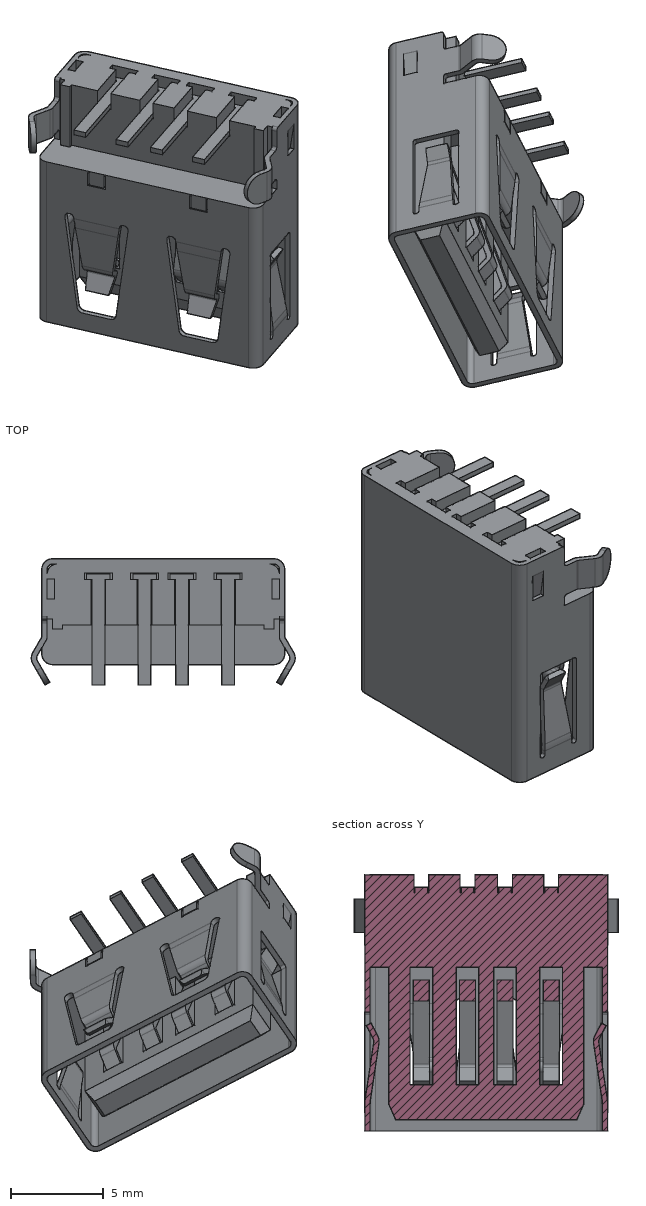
import cadquery as cq
import math


shell_width = 13.08
shell_depth = 5.71
shell_height = 13.8
sheet = 0.3
shell_corner = 0.6
front_height = 10.03
side_edge_y = 2.41
notch_fillet = 0.17
half_width = shell_width / 2
middle_y = shell_depth / 2
inner_half_width = half_width - sheet

overall_width = 14.2
overall_depth = 6.8
tab_bottom = 10.68
tab_top = 12.5
tab_bend_y = 1.49
tab_angle = math.radians(30)
tab_root_radius = 0.28
tab_knee_radius = 0.45
front_limit = shell_depth - overall_depth

front_spring_x = 3.0
window_bottom = 1.06
window_corner = 0.33
window_half_bottom = 1.11
window_half_top = 1.86
front_root_z = 6.86
front_root_half = 1.33
front_tip_half = 0.65
front_bend_z = 6.57
front_bend_radius = 12.78
front_shoulder = (0.13, 3.68)
front_shoulder_radius = 0.3
front_knee = (0.65, 3.44)
front_knee_radius = 0.24
front_tip = (0.04, 2.5)

side_window_width = 2.58
side_window_bottom = 1.01
side_window_top = 6.4
side_window_corner = 0.14
side_root_z = 1.35
side_root_half = 0.97
side_bend_z = 1.58
side_bend_radius = 2.55
side_knee_z = 4.88
side_knee_depth = 0.5
side_knee_half = 0.64
side_knee_radius = 0.51
side_tip_z = 5.68
side_tip_depth = 0.09
side_tip_half = 0.61
spring_tip_fillet = 0.23

latch_y = (3.92, 4.7)
latch_z = (11.29, 12.84)
latch_lean = 0.23
pocket_y = (3.54, 4.62)
pocket_inner_x = 5.84

notch_x = 3.0
notch_width = 1.04
notch_depth = 0.9
nub_width = 0.87
nub_depth = 0.84
nub_head_depth = 0.1

insulator_corner = 0.5
base_bottom = 8.8
block_front_y = 2.15
rib_front_y = 1.92
rib_half_inner = 5.41
rib_half_outer = 5.96
shoulder_y = 2.47
tongue_half_width = 5.25
tongue_front_y = 2.84
tongue_back_y = 4.69
tongue_taper_top = 1.46
tongue_taper_length = 0.85
tongue_taper_angle = 24

contact_xs = (-3.5, -1.01, 1.01, 3.5)
pin_width = 0.7
pin_bottom = 12.82
pin_slot_width = 0.78
plate_width = 1.26
plate_back_y = 4.88
plate_slot_width = 1.5
plate_slot_y = (4.59, 4.93)
blade_width = 0.87
groove_width = 1.2
groove_floor_y = 3.83
groove_bottom = 2.5
blade_root_y = 3.52
blade_apex_y = 2.09
blade_apex_z = 3.41
blade_end_y = 2.98
blade_radius = 0.35


def box(x_range, y_range, z_range):
    """Box between two limits on each axis."""
    size = [high - low for low, high in (x_range, y_range, z_range)]
    corner = (x_range[0], y_range[0], z_range[0])
    return cq.Workplane("XY").box(*size, centered=False).translate(corner)


def centred_box(x, width, y_range, z_range):
    """Box of a given width centred on x."""
    return box((x - width / 2, x + width / 2), y_range, z_range)


def both_sides(body):
    """A body together with its mirror image across X = 0."""
    return body.union(body.mirror("YZ"))


def rounded_prism(width, y_range, radius, z_range):
    """Upright prism centred on X, with its four upright edges rounded."""
    return centred_box(0, width, y_range, z_range).edges("|Z").fillet(radius)


def bent_strip(plane, path, radii):
    """Outline of a sheet whose face follows path, the sheet lying on the left of it.

    Each inner point of the path is a bend; radii are those of the sheet's middle layer.
    """
    points = [cq.Vector(*point) for point in path]
    runs = [(end - start).normalized() for start, end in zip(points, points[1:])]
    lefts = [cq.Vector(-run.y, run.x) for run in runs]
    sides = []
    for offset in (0, sheet):
        side = [[points[0] + lefts[0] * offset]]
        for i, radius in enumerate(radii):
            bisector = (lefts[i] + lefts[i + 1]).normalized()
            half_turn_cos = bisector.dot(lefts[i])
            turn = math.copysign(1, runs[i].cross(runs[i + 1]).z)
            centre_offset = sheet / 2 + turn * radius
            centre = points[i + 1] + bisector * (centre_offset / half_turn_cos)
            arm = offset - centre_offset
            side.append([centre + way * arm for way in (lefts[i], bisector, lefts[i + 1])])
        side.append([points[-1] + lefts[-1] * offset])
        sides.append(side)
    near, far = sides
    stretches = near[1:] + [stretch[::-1] for stretch in far[::-1]]
    outline = cq.Workplane(plane).moveTo(near[0][0].x, near[0][0].y)
    for stretch in stretches:
        outline = outline.lineTo(stretch[0].x, stretch[0].y)
        if len(stretch) == 3:
            middle, end = stretch[1:]
            outline = outline.threePointArc((middle.x, middle.y), (end.x, end.y))
    return outline.close()


def make_tube():
    """Folded shell, cut down at the front around the pins."""
    tube = rounded_prism(shell_width, (0, shell_depth), shell_corner, (0, shell_height))
    bore = rounded_prism(
        2 * inner_half_width, (sheet, shell_depth - sheet), shell_corner - sheet, (0, shell_height)
    )
    clearance = centred_box(0, shell_width, (0, side_edge_y), (front_height, shell_height))
    tube = tube.cut(bore).cut(clearance)
    side_corners = tube.edges("|X and >Z").edges(
        cq.selectors.BoxSelector(
            (-half_width, side_edge_y - sheet, front_height),
            (half_width, side_edge_y + sheet, shell_height + sheet),
        )
    )
    return side_corners.fillet(notch_fillet)


def make_tab():
    """Left board-lock tab: bent outwards, then back in to a round end."""
    tab_height = tab_top - tab_bottom
    end_radius = tab_height / 2
    tab_middle = (tab_top + tab_bottom) / 2
    knee_outer_radius = tab_knee_radius + sheet / 2
    knee_trim = knee_outer_radius * (1 / math.cos(tab_angle) - 1)
    knee_x = -overall_width / 2 - knee_trim
    knee_y = tab_bend_y - (-half_width - knee_x) / math.tan(tab_angle)
    tip_x = knee_x + (knee_y - front_limit) * math.tan(tab_angle)
    path = [
        (-half_width, side_edge_y),
        (-half_width, tab_bend_y),
        (knee_x, knee_y),
        (tip_x, front_limit),
    ]
    tab = bent_strip("XY", path, [tab_root_radius, tab_knee_radius]).extrude(tab_height)
    tab = tab.translate((0, 0, tab_bottom))
    leg_plane = cq.Plane(
        origin=(tip_x, front_limit, tab_middle),
        xDir=(-math.sin(tab_angle), math.cos(tab_angle), 0),
        normal=(math.cos(tab_angle), math.sin(tab_angle), 0),
    )
    end_block = cq.Workplane(leg_plane).rect(2 * end_radius, tab_height)
    end_block = end_block.extrude(2 * sheet, both=True)
    round_end = cq.Workplane(leg_plane).center(end_radius, 0).circle(end_radius)
    round_end = round_end.extrude(2 * sheet, both=True)
    return tab.cut(end_block.cut(round_end))


def make_tab_root():
    """Rounded inner corners where the left tab leaves the shell side."""
    profile = cq.Workplane("YZ")
    corner_y = side_edge_y - notch_fillet
    for edge_z, away in ((tab_top, 1), (tab_bottom, -1)):
        far_z = edge_z + away * notch_fillet
        swing = notch_fillet * (1 - math.sqrt(0.5))
        profile = (
            profile.moveTo(side_edge_y, edge_z)
            .lineTo(side_edge_y, far_z)
            .threePointArc((side_edge_y - swing, edge_z + away * swing), (corner_y, edge_z))
            .close()
        )
    return profile.extrude(sheet).translate((-half_width, 0, 0))


def front_window():
    """Cutter for a front spring window: a taper ending in two round slots beside the root."""
    cutter = (
        cq.Workplane("XZ")
        .polyline([
            (-window_half_bottom, window_bottom),
            (window_half_bottom, window_bottom),
            (window_half_top, front_root_z),
            (-window_half_top, front_root_z),
        ])
        .close()
        .extrude(-sheet)
        .edges("|Y and <Z")
        .fillet(window_corner)
    )
    slot_radius = (window_half_top - front_root_half) / 2
    slot_x = front_root_half + slot_radius
    slot_ends = (
        cq.Workplane("XZ")
        .pushPoints([(-slot_x, front_root_z), (slot_x, front_root_z)])
        .circle(slot_radius)
        .extrude(-sheet)
    )
    return cutter.union(slot_ends)


def front_spring():
    """Front spring leaning inwards as it drops, with its lip flared back out."""
    path = [(0, front_root_z), (0, front_bend_z), front_shoulder, front_knee, front_tip]
    radii = [front_bend_radius, front_shoulder_radius, front_knee_radius]
    strip = bent_strip("YZ", path, radii).extrude(front_root_half, both=True)
    end_z = strip.val().BoundingBox().zmin
    taper = (
        cq.Workplane("XZ")
        .polyline([
            (-front_root_half, front_root_z),
            (front_root_half, front_root_z),
            (front_tip_half, end_z),
            (-front_tip_half, end_z),
        ])
        .close()
        .extrude(-shell_depth)
        .edges("|Y and <Z")
        .fillet(spring_tip_fillet)
    )
    return strip.intersect(taper)


def side_window():
    """Cutter for the left spring window, leaving the spring root between two slots."""
    y_range = (middle_y - side_window_width / 2, middle_y + side_window_width / 2)
    x_range = (-half_width, -inner_half_width)
    opening = box(x_range, y_range, (side_window_bottom, side_window_top))
    root_y = (middle_y - side_root_half, middle_y + side_root_half)
    root = box(x_range, root_y, (side_window_bottom, side_root_z))
    return opening.cut(root).edges("|X and (>Z or <Z)").fillet(side_window_corner)


def side_spring():
    """Left spring leaning inwards as it rises, with its lip flared back out."""
    path = [
        (side_tip_depth - half_width, side_tip_z),
        (side_knee_depth - half_width, side_knee_z),
        (-half_width, side_bend_z),
        (-half_width, side_root_z),
    ]
    strip = bent_strip("XZ", path, [side_knee_radius, side_bend_radius])
    strip = strip.extrude(side_root_half, both=True).translate((0, middle_y, 0))
    end_z = strip.val().BoundingBox().zmax
    right_edge = [
        (middle_y + side_root_half, side_root_z),
        (middle_y + side_knee_half, side_knee_z),
        (middle_y + side_tip_half, end_z),
    ]
    left_edge = [(2 * middle_y - y, z) for y, z in reversed(right_edge)]
    taper = cq.Workplane("YZ").polyline(right_edge + left_edge).close().extrude(-shell_width)
    taper = taper.edges("|X and >Z").fillet(spring_tip_fillet)
    return strip.intersect(taper)


def latch_flap():
    """Left latch flap: hangs in its window and leans inwards towards its lower end."""
    bottom_z, top_z = latch_z
    flap = (
        cq.Workplane("XZ")
        .polyline([
            (-half_width, top_z),
            (latch_lean - half_width, bottom_z),
            (latch_lean - inner_half_width, bottom_z),
            (-inner_half_width, top_z),
        ])
        .close()
        .extrude(latch_y[0] - latch_y[1])
    )
    return flap.translate((0, latch_y[0], 0))


def make_shell():
    """Sheet-metal shell with its tabs, springs, latch windows and retaining notches."""
    shell = make_tube()
    shell = shell.union(both_sides(make_tab().union(make_tab_root())))
    for x in (-front_spring_x, front_spring_x):
        shell = shell.cut(front_window().translate((x, 0, 0)))
        shell = shell.union(front_spring().translate((x, 0, 0)))
    shell = shell.cut(both_sides(side_window())).union(both_sides(side_spring()))
    shell = shell.cut(both_sides(box((-half_width, -inner_half_width), latch_y, latch_z)))
    shell = shell.union(both_sides(latch_flap()))
    notch_z = (front_height - notch_depth, front_height)
    return shell.cut(both_sides(centred_box(notch_x, notch_width, (0, sheet), notch_z)))


def make_insulator():
    """Moulded body: rear block over a full-section base, with the tongue below."""
    inner_y = (sheet, shell_depth - sheet)
    body = centred_box(0, 2 * inner_half_width, inner_y, (base_bottom, shell_height))
    body = body.edges("|Z and >Y").fillet(insulator_corner)
    body = body.edges("|Z and <Y").fillet(shell_corner - sheet)
    top_z = (front_height, shell_height)
    body = body.cut(centred_box(0, shell_width, (0, rib_front_y), top_z))
    body = body.cut(centred_box(0, 2 * rib_half_inner, (0, block_front_y), top_z))
    body = body.cut(both_sides(box((rib_half_outer, half_width), (0, shoulder_y), top_z)))
    nub_z = (front_height - nub_depth, front_height)
    body = body.union(both_sides(centred_box(notch_x, nub_width, (0, 2 * sheet), nub_z)))
    head_z = (front_height - nub_head_depth, front_height)
    body = body.union(both_sides(centred_box(notch_x, notch_width, (0, 2 * sheet), head_z)))
    tongue_y = (tongue_front_y, tongue_back_y)
    tongue_z = (tongue_taper_top, base_bottom)
    tongue = centred_box(0, 2 * tongue_half_width, tongue_y, tongue_z)
    tongue = tongue.faces("<Z").wires().toPending().workplane()
    tongue = tongue.extrude(tongue_taper_length, taper=tongue_taper_angle)
    body = body.union(tongue)
    pocket_z = (latch_z[1], shell_height)
    body = body.cut(both_sides(box((pocket_inner_x, inner_half_width), pocket_y, pocket_z)))
    for x in contact_xs:
        body = body.cut(centred_box(x, plate_slot_width, plate_slot_y, top_z))
        pin_slot_y = (rib_front_y, plate_slot_y[1])
        body = body.cut(centred_box(x, pin_slot_width, pin_slot_y, (pin_bottom, shell_height)))
        groove_y = (tongue_front_y, groove_floor_y)
        body = body.cut(centred_box(x, groove_width, groove_y, (groove_bottom, base_bottom)))
    return body


def make_contact(x):
    """Contact: level pin, upright plate behind it and a bowed blade in the tongue groove."""
    pin = centred_box(x, pin_width, (front_limit, plate_back_y), (pin_bottom, pin_bottom + sheet))
    plate_y = (plate_back_y - sheet, plate_back_y)
    plate = centred_box(x, plate_width, plate_y, (base_bottom, pin_bottom + sheet))
    slope = (blade_root_y - blade_apex_y) / (base_bottom - blade_apex_z)
    path = [
        (blade_root_y + slope * sheet, base_bottom + sheet),
        (blade_apex_y, blade_apex_z),
        (blade_end_y, groove_bottom),
    ]
    blade = bent_strip("YZ", path, [blade_radius]).extrude(blade_width / 2, both=True)
    return pin.union(plate).union(blade.translate((x, 0, 0)))


result = make_shell().union(make_insulator())
for contact_x in contact_xs:
    result = result.union(make_contact(contact_x))